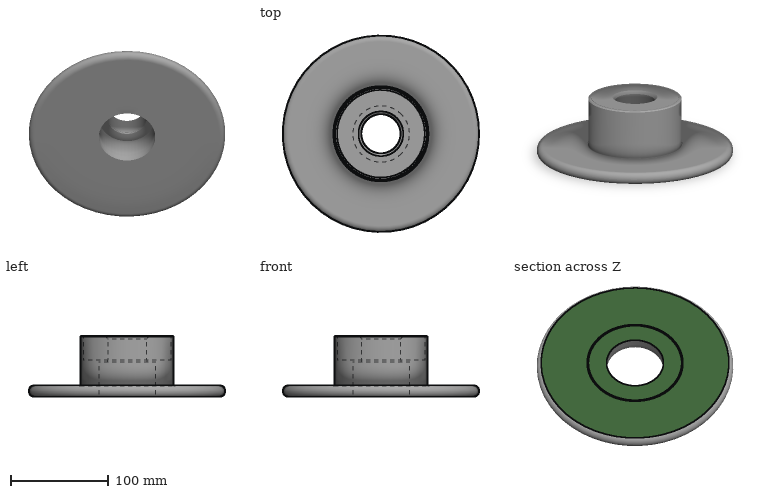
import cadquery as cq

flange_diameter = 202.0
flange_thickness = 12.0
rim_radius = flange_thickness / 2
total_height = 63.0
cup_diameter = 96.0
cup_edge_chamfer = 1.0

groove_diameter = 98.0
groove_depth = 0.7
foot_fillet = (groove_diameter - cup_diameter) / 2

insert_diameter = 90.02
insert_height = 25.0
insert_protrusion = 0.4
insert_bore_diameter = 40.01
insert_bore_chamfer = 3.0

web_thickness = 2.0
web_hole_diameter = 40.3
lower_bore_diameter = 58.0

cup_top_z = total_height - insert_protrusion
groove_floor_z = flange_thickness - groove_depth
pocket_floor_z = total_height - insert_height
web_bottom_z = pocket_floor_z - web_thickness


def cylinder(diameter, bottom_z, top_z):
    """Upright cylinder on the Z axis between two heights."""
    return cq.Workplane("XY").workplane(offset=bottom_z).circle(diameter / 2).extrude(top_z - bottom_z)


def make_housing():
    flange_radius = flange_diameter / 2
    flat_radius = flange_radius - rim_radius
    groove_radius = groove_diameter / 2
    cup_radius = cup_diameter / 2
    half_profile = (
        cq.Workplane("XZ")
        .lineTo(flat_radius, 0)
        .radiusArc((flange_radius, rim_radius), -rim_radius)
        .radiusArc((flat_radius, flange_thickness), -rim_radius)
        .lineTo(groove_radius, flange_thickness)
        .lineTo(groove_radius, groove_floor_z)
        .radiusArc((cup_radius, groove_floor_z + foot_fillet), foot_fillet)
        .lineTo(cup_radius, cup_top_z - cup_edge_chamfer)
        .lineTo(cup_radius - cup_edge_chamfer, cup_top_z)
        .lineTo(0, cup_top_z)
        .close()
    )
    body = half_profile.revolve(360, (0, 0, 0), (0, 1, 0))
    insert_pocket = cylinder(insert_diameter, pocket_floor_z, cup_top_z)
    web_hole = cylinder(web_hole_diameter, web_bottom_z, pocket_floor_z)
    lower_bore = cylinder(lower_bore_diameter, 0, web_bottom_z)
    return body.cut(insert_pocket).cut(web_hole).cut(lower_bore)


def make_insert():
    ring = cylinder(insert_diameter, pocket_floor_z, total_height)
    ring = ring.cut(cylinder(insert_bore_diameter, pocket_floor_z, total_height))
    smallest_circle = cq.selectors.RadiusNthSelector(0)
    return ring.faces(">Z").edges(smallest_circle).chamfer(insert_bore_chamfer)


housing = make_housing()
insert = make_insert()

result = cq.Compound.makeCompound([housing.val(), insert.val()])